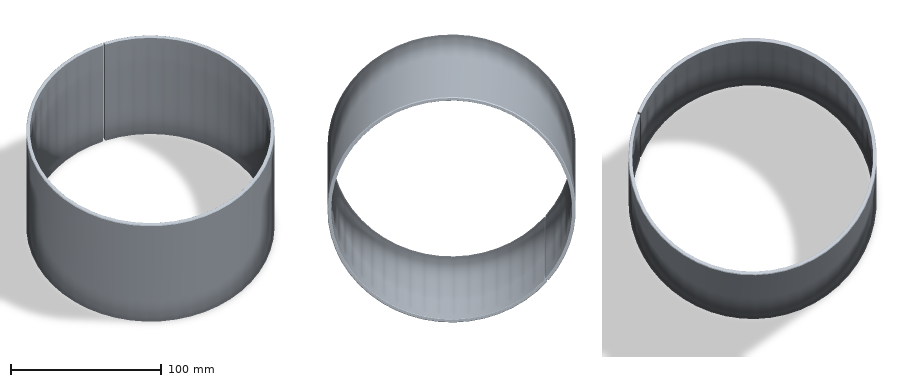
import cadquery as cq

outer_diameter = 165.0
height = 100.0
wall = 2.5
slit_angle = 1.0
outer_chamfer = 0.5
inner_chamfer = 0.2

outer_radius = outer_diameter / 2
inner_radius = outer_radius - wall

wall_section = cq.Workplane("XZ").polyline([
    (-inner_radius - inner_chamfer, 0),
    (-outer_radius + outer_chamfer, 0),
    (-outer_radius, outer_chamfer),
    (-outer_radius, height - outer_chamfer),
    (-outer_radius + outer_chamfer, height),
    (-inner_radius - inner_chamfer, height),
    (-inner_radius, height - inner_chamfer),
    (-inner_radius, inner_chamfer),
]).close()

result = wall_section.revolve(360 - slit_angle, (0, 0), (0, 1))